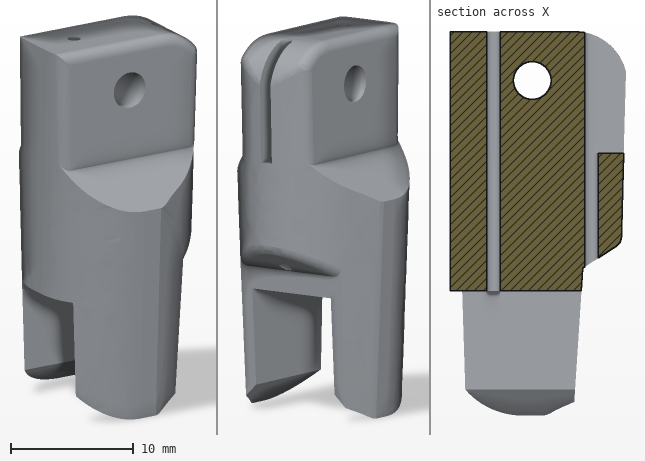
import cadquery as cq
import math

height = 31.3
corner_radius = 5.995
base_flat = 0.21
side_slope = 0.0444
side_flat = 1.53
base_nose = 13.6
nose_slope = 0.028

lug_half_width = 3.48
lug_base = 21.4
lug_round = 0.88
nose_top_radius = 4.32
shoulder_slope = 0.95

pin_diameter = 3.05
pin_y = 6.7
pin_z = 27.3
cord_diameter = 1.05
front_cord_y = 3.55
back_cord_y = 11.52

leg_gap = 7.92
gap_height = 10.18
leg_tip_height = 2.13
leg_back_base = 10.05
leg_back_top = 10.83
leg_back_height = 12.02
nose_underside_slope = 0.65
nose_edge_round = 0.95

reach = 18.8


def nose_y(z):
    return base_nose + nose_slope * z


def egg_section(z):
    """Closed egg outline at height z, flat at the front."""
    flat = base_flat + side_slope * z
    half = flat + corner_radius
    diagonal = corner_radius * math.sqrt(0.5)
    side_end = corner_radius + side_flat
    flank_rise = nose_y(z) - side_end
    flank = [
        (0.935 * half, side_end + 0.155 * flank_rise),
        (0.79 * half, side_end + 0.45 * flank_rise),
        (0.5 * half, side_end + 0.79 * flank_rise),
    ]
    mirrored = [(-x, y) for x, y in reversed(flank)]
    back = flank + [(0, nose_y(z))] + mirrored + [(-half, side_end)]
    return (
        cq.Workplane("XY", origin=(0, 0, z))
        .moveTo(-flat, 0)
        .lineTo(flat, 0)
        .threePointArc((flat + diagonal, corner_radius - diagonal), (half, corner_radius))
        .lineTo(half, side_end)
        .spline(back, tangents=[(-0.15, 1), (-0.15, -1)], includeCurrent=True)
        .lineTo(-half, corner_radius)
        .threePointArc((-flat - diagonal, corner_radius - diagonal), (-flat, 0))
        .close()
        .wire().val()
    )


def column():
    wires = [egg_section(0), egg_section(height)]
    return cq.Workplane(cq.Solid.makeLoft(wires, True))


def along_y(points):
    """Front outline extruded through the whole depth."""
    return cq.Workplane("XZ").polyline(points).close().extrude(-reach)


def along_x(outline):
    """Side outline extruded through the whole width."""
    return outline.extrude(reach, both=True)


def shoulder_relief(side):
    """Tool that clears one side of the lug; side is 1 or -1."""
    drop = shoulder_slope * (reach - lug_half_width)
    return along_y([
        (side * lug_half_width, lug_base), (side * reach, lug_base - drop),
        (side * reach, height + 0.3), (side * lug_half_width, height + 0.3),
    ])


def nose_top_relief():
    """Tool that rounds the top of the nose."""
    arc_y = nose_y(height) - nose_top_radius
    arc_z = height - nose_top_radius
    diagonal = nose_top_radius * math.sqrt(0.5)
    return along_x(
        cq.Workplane("YZ")
        .moveTo(arc_y, height)
        .threePointArc((arc_y + diagonal, arc_z + diagonal), (arc_y + nose_top_radius, arc_z))
        .lineTo(reach, arc_z)
        .lineTo(reach, height + 0.3)
        .lineTo(arc_y, height + 0.3)
        .close()
    )


def nose_relief():
    """Tool that clears the space behind the legs and below the nose."""
    rise = nose_underside_slope * (reach - leg_back_top)
    return along_x(
        cq.Workplane("YZ").polyline([
            (leg_back_base, 0), (leg_back_top, leg_back_height),
            (reach, leg_back_height + rise), (reach, 0),
        ]).close()
    )


def leg_space():
    """Gap between the legs, with their bevelled tips."""
    half_gap = leg_gap / 2
    tip_x = half_gap + leg_tip_height / shoulder_slope
    return along_y([
        (-tip_x, 0), (-half_gap, leg_tip_height), (-half_gap, gap_height),
        (half_gap, gap_height), (half_gap, leg_tip_height), (tip_x, 0),
    ])


def cord_path():
    """Two vertical cord holes and the slot from the back one to the nose."""
    holes = (
        cq.Workplane("XY")
        .pushPoints([(0, front_cord_y), (0, back_cord_y)])
        .circle(cord_diameter / 2)
        .extrude(height)
    )
    slot = cq.Workplane("XY", origin=(0, back_cord_y, lug_base)).box(
        cord_diameter, reach, height, centered=(True, False, False))
    return holes.union(slot)


def pin_hole():
    return along_x(cq.Workplane("YZ").center(pin_y, pin_z).circle(pin_diameter / 2))


body = column().cut(nose_top_relief()).cut(nose_relief())

nose_underside = cq.selectors.BoxSelector(
    (-lug_half_width, leg_back_top + 0.3, leg_back_height), (lug_half_width, reach, lug_base - 5.65))
body = body.edges(nose_underside).fillet(nose_edge_round)

for side in (1, -1):
    body = body.cut(shoulder_relief(side))

lug_sides = cq.selectors.BoxSelector(
    (-lug_half_width - 0.03, -0.3, lug_base + 0.3), (lug_half_width + 0.03, reach, height + 0.3))
nose_rim = cq.selectors.BoxSelector(
    (-0.3, nose_y(0) - 0.95, pin_z), (0.3, reach, height - 0.3))
lug_edges = body.faces("|X").faces(lug_sides).edges(lug_sides).vals()
lug_edges += body.edges(nose_rim).vals()
body = body.newObject(lug_edges).fillet(lug_round)

result = body.cut(leg_space()).cut(cord_path()).cut(pin_hole())